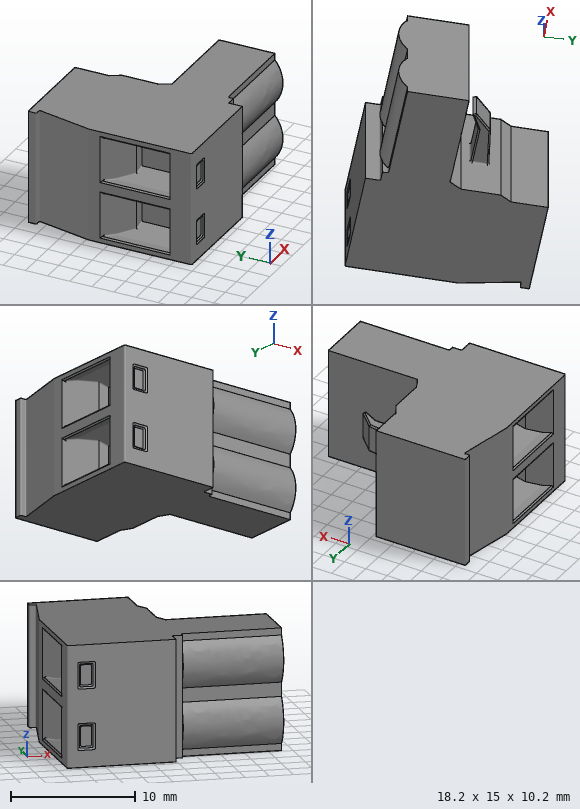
import cadquery as cq


length = 18.2
width = 15.0
height = 10.15
pole_pitch = 5.08
pole_centers = [height / 2 - pole_pitch / 2, height / 2 + pole_pitch / 2]

wire_side_bend_y = 9.26
hook_x = 0.47
hook_thickness = 0.75
hook_neck_x = 1.02
hook_radius = 0.1
back_x = 8.8
waist_x = 9.34
leg_root_x = 9.86
shoulder_start_y = 11.94
shoulder_end_y = 11.01
leg_top_y = 6.77
waist_end_y = 7.77
leg_bottom_y = 1.73
ledge_y = 1.24
foot_x = 9.0
foot_radius = 0.13
leg_root_radius = 0.18
corner_radius = 0.13

barrel_width = 3.9
barrel_drop = 0.73
barrel_draft = 0.02
barrel_embed = 0.18

funnel_bottom_y = 1.95
funnel_top_y = 8.26
funnel_floor_bottom_y = 2.98
funnel_floor_top_y = 5.99
funnel_mouth_height = 4.22
funnel_lip = 0.13
funnel_floor_height = 2.91
funnel_straight_depth = 0.8
funnel_ramp_depth = 2.0
funnel_depth = 2.98
funnel_corner_radius = 0.11

window_left_x = 0.85
window_width = 1.45
window_height = 2.22
window_corner_radius = 0.13
window_rim = 0.16
window_rim_depth = 0.07
window_wall_inset = 0.11
window_depth = 0.2

latch_width = 2.55
latch_root_bottom_y = 8.55
latch_root_top_y = 10.03
latch_knee = (12.72, 9.54)
latch_underside_knee_x = 12.67
latch_tip_top = (14.15, 8.14)
latch_tip_bottom = (14.01, 7.85)
latch_chamfer = 0.13
latch_root_fillet = 0.16

edge_margin = 0.02


def round_corner(solid, corner, radius):
    """Fillet the full-height edge that stands at an outline corner."""
    edge_middle = (*corner, height / 2)
    return solid.edges(cq.selectors.NearestToPointSelector(edge_middle)).fillet(radius)


def make_housing():
    hook_y = width - hook_thickness
    front_corner = (0, 0)
    foot_corner = (foot_x, ledge_y)
    leg_root_corner = (leg_root_x, leg_bottom_y)
    hook_corners = [(hook_x, width), (hook_x, hook_y), (hook_neck_x, hook_y)]
    outline = [
        front_corner,
        (foot_x, 0),
        foot_corner,
        (leg_root_x, ledge_y),
        leg_root_corner,
        (length, leg_bottom_y),
        (length, leg_top_y),
        (leg_root_x, leg_top_y),
        (waist_x, waist_end_y),
        (waist_x, shoulder_end_y),
        (back_x, shoulder_start_y),
        (back_x, width),
        *hook_corners,
        (0, wire_side_bend_y),
    ]
    body = cq.Workplane("XY").polyline(outline).close().extrude(height)
    body = round_corner(body, front_corner, corner_radius)
    body = round_corner(body, foot_corner, foot_radius)
    body = round_corner(body, leg_root_corner, leg_root_radius)
    for corner in hook_corners:
        body = round_corner(body, corner, hook_radius)
    return body


def barrel_section(plane_x, center_z, drop):
    embed_y = leg_bottom_y + barrel_embed
    left = center_z - barrel_width / 2
    right = center_z + barrel_width / 2
    return (
        cq.Workplane("YZ", origin=(plane_x, 0, 0))
        .moveTo(embed_y, left)
        .lineTo(leg_bottom_y, left)
        .threePointArc((leg_bottom_y - drop, center_z), (leg_bottom_y, right))
        .lineTo(embed_y, right)
        .close()
    )


def make_barrel(center_z):
    root = barrel_section(leg_root_x, center_z, barrel_drop - barrel_draft).wire().val()
    tip = barrel_section(length, center_z, barrel_drop).wire().val()
    return cq.Workplane(cq.Solid.makeLoft([root, tip], True))


def make_funnel(center_z):
    plan = [
        (0, funnel_bottom_y),
        (funnel_ramp_depth, funnel_floor_bottom_y),
        (funnel_depth, funnel_floor_bottom_y),
        (funnel_depth, funnel_floor_top_y),
        (funnel_ramp_depth, funnel_floor_top_y),
        (0, funnel_top_y),
    ]
    mouth = funnel_mouth_height / 2
    throat = mouth - funnel_lip
    floor = funnel_floor_height / 2
    upper_half = [
        (0, mouth),
        (funnel_lip, throat),
        (funnel_straight_depth, throat),
        (funnel_depth, floor),
    ]
    side = upper_half + [(x, -z) for x, z in reversed(upper_half)]
    plan_prism = cq.Workplane("XY", origin=(0, 0, center_z)).polyline(plan).close().extrude(mouth, both=True)
    side_prism = cq.Workplane("XZ", origin=(0, 0, center_z)).polyline(side).close().extrude(-width)
    funnel = plan_prism.intersect(side_prism)

    top_wall_corners = cq.selectors.BoxSelector(
        (funnel_lip, funnel_floor_top_y - edge_margin, 0),
        (funnel_depth - edge_margin, funnel_top_y, height),
    )
    return funnel.edges(top_wall_corners).edges("not |Z").edges("not |Y").fillet(funnel_corner_radius)


def make_window(center_z):
    center_x = window_left_x + window_width / 2

    def section(depth, inset):
        return (
            cq.Sketch()
            .rect(window_width - 2 * inset, window_height - 2 * inset)
            .vertices()
            .fillet(window_corner_radius)
            .moved(cq.Location(cq.Vector(0, 0, -depth)))
        )

    face = cq.Workplane("XZ", origin=(center_x, 0, center_z))
    rim = face.placeSketch(section(0, 0), section(window_rim_depth, window_rim)).loft()
    pocket = face.placeSketch(
        section(window_rim_depth, window_rim),
        section(window_depth, window_rim + window_wall_inset),
    ).loft()
    return rim.union(pocket)


def make_latch():
    outline = [
        (back_x, latch_root_bottom_y),
        (latch_underside_knee_x, latch_root_bottom_y),
        latch_tip_bottom,
        latch_tip_top,
        latch_knee,
        (waist_x, latch_root_top_y),
        (back_x, latch_root_top_y),
    ]
    arm = cq.Workplane("XY", origin=(0, 0, height / 2)).polyline(outline).close()
    return arm.extrude(latch_width / 2, both=True).faces("|Z").edges().chamfer(latch_chamfer)


def blend_latch_root(solid):
    root_edges = cq.selectors.BoxSelector(
        (waist_x - edge_margin, latch_root_bottom_y - edge_margin, edge_margin),
        (waist_x + edge_margin, latch_root_top_y + edge_margin, height - edge_margin),
    )
    return solid.edges(root_edges).fillet(latch_root_fillet)


result = blend_latch_root(make_housing().union(make_latch()))
for center_z in pole_centers:
    result = result.union(make_barrel(center_z))
    result = result.cut(make_funnel(center_z))
    result = result.cut(make_window(center_z))